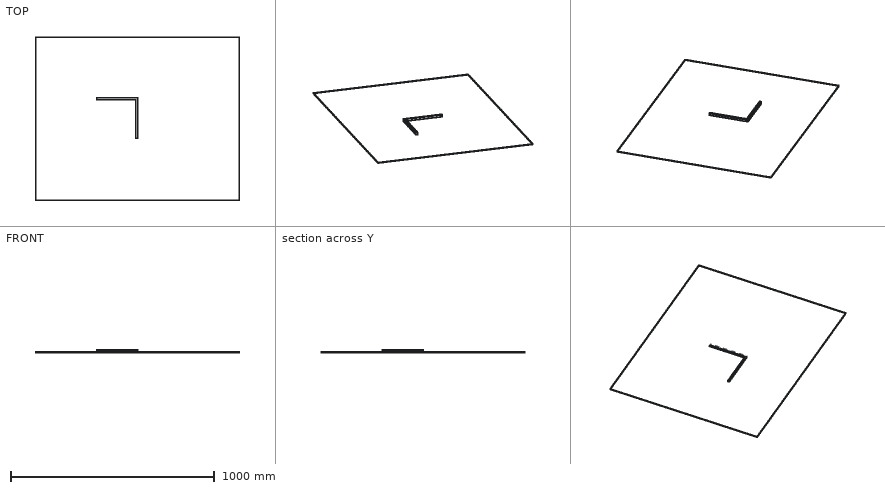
import cadquery as cq

plate_length = 1000.0
plate_width = 800.0
total_height = 13.0
rib_height = 10.0
plate_thickness = total_height - rib_height

leg_length = 200.0
rib_width = 9.2
corner_x = 0.0
corner_y = 103.2


def make_plate():
    return cq.Workplane("XY").box(
        plate_length, plate_width, plate_thickness, centered=(True, True, False)
    )


def make_corner_rib():
    """Two equal legs running from the outer corner toward -X and -Y."""
    end_x = corner_x - leg_length
    end_y = corner_y - leg_length
    inner_x = corner_x - rib_width
    inner_y = corner_y - rib_width
    outline = [
        (corner_x, corner_y),
        (end_x, corner_y),
        (end_x, inner_y),
        (inner_x, inner_y),
        (inner_x, end_y),
        (corner_x, end_y),
    ]
    return (
        cq.Workplane("XY")
        .workplane(offset=plate_thickness)
        .polyline(outline)
        .close()
        .extrude(rib_height)
    )


result = make_plate().union(make_corner_rib())